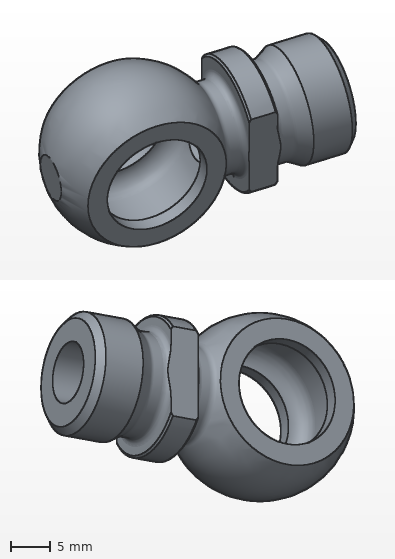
import cadquery as cq
import math

BALL_RADIUS = 12.0
EYE_WIDTH = 14.0
EYE_HOLE_DIAMETER = 14.0
FRONT_FLAT_Y = -11.6

GROOVE_MOUTH_WIDTH = 10.0
GROOVE_SIDE_RADIUS = 2.5

STEM_END_Y = 28.0
STEM_BORE_DIAMETER = 8.0
FILLET = 1.0

THREAD_RADIUS = 16.0 / 2
THREAD_START_Y = 21.6
THREAD_CHAMFER = 1.0
RELIEF_RADIUS = 13.7 / 2
RUNOUT_ANGLE = math.radians(30)

COLLAR_RADIUS = 9.23
COLLAR_START_Y = 12.95
COLLAR_END_Y = 16.95
COLLAR_CHAMFER = 0.28
COLLAR_FLAT_WIDTH = EYE_WIDTH

NECK_RADIUS = 12.5 / 2


def arc_point(center, angle):
    """Point of a fillet arc at an angle measured from the radial direction towards +Y."""
    return (
        center[0] + FILLET * math.cos(angle),
        center[1] + FILLET * math.sin(angle),
    )


def make_eye_blank():
    ball = cq.Workplane("XY").sphere(BALL_RADIUS)
    depth = BALL_RADIUS - FRONT_FLAT_Y
    envelope = (
        cq.Workplane("XY")
        .box(EYE_WIDTH, depth, 2 * BALL_RADIUS + 0.4)
        .translate((0, FRONT_FLAT_Y + depth / 2, 0))
    )
    return ball.intersect(envelope)


def make_stem():
    ball_fillet_radius = NECK_RADIUS + FILLET
    ball_fillet_y = math.sqrt((BALL_RADIUS + FILLET) ** 2 - ball_fillet_radius**2)
    ball_fillet = (ball_fillet_radius, ball_fillet_y)
    neck_fillet = (NECK_RADIUS + FILLET, COLLAR_START_Y - FILLET)
    collar_fillet = (RELIEF_RADIUS + FILLET, COLLAR_END_Y + FILLET)

    runout_end_radius = RELIEF_RADIUS + FILLET * (1 - math.cos(RUNOUT_ANGLE))
    runout_length = (THREAD_RADIUS - runout_end_radius) / math.tan(RUNOUT_ANGLE)
    runout_end_y = THREAD_START_Y - runout_length
    runout_fillet = (RELIEF_RADIUS + FILLET, runout_end_y - FILLET * math.sin(RUNOUT_ANGLE))

    inward = math.pi
    ball_contact = math.pi + math.atan2(ball_fillet_y, ball_fillet_radius)
    from_start = math.radians(135)
    to_end = math.radians(225)

    profile = (
        cq.Workplane("XY")
        .lineTo(*(BALL_RADIUS / (BALL_RADIUS + FILLET) * c for c in ball_fillet))
        .threePointArc(
            arc_point(ball_fillet, (inward + ball_contact) / 2),
            arc_point(ball_fillet, inward),
        )
        .lineTo(*arc_point(neck_fillet, inward))
        .threePointArc(arc_point(neck_fillet, from_start), (neck_fillet[0], COLLAR_START_Y))
        .lineTo(COLLAR_RADIUS - COLLAR_CHAMFER, COLLAR_START_Y)
        .lineTo(COLLAR_RADIUS, COLLAR_START_Y + COLLAR_CHAMFER)
        .lineTo(COLLAR_RADIUS, COLLAR_END_Y - COLLAR_CHAMFER)
        .lineTo(COLLAR_RADIUS - COLLAR_CHAMFER, COLLAR_END_Y)
        .lineTo(collar_fillet[0], COLLAR_END_Y)
        .threePointArc(arc_point(collar_fillet, to_end), arc_point(collar_fillet, inward))
        .lineTo(*arc_point(runout_fillet, inward))
        .threePointArc(
            arc_point(runout_fillet, inward - RUNOUT_ANGLE / 2),
            (runout_end_radius, runout_end_y),
        )
        .lineTo(THREAD_RADIUS, THREAD_START_Y)
        .lineTo(THREAD_RADIUS, STEM_END_Y - THREAD_CHAMFER)
        .lineTo(THREAD_RADIUS - THREAD_CHAMFER, STEM_END_Y)
        .lineTo(0, STEM_END_Y)
        .close()
    )
    return profile.revolve(360, (0, 0, 0), (0, 1, 0))


def make_collar_flat(side):
    """Block that trims the collar and its fillets to a wrench flat on one X side."""
    start = COLLAR_START_Y - FILLET
    length = COLLAR_END_Y + FILLET - start
    depth = COLLAR_RADIUS
    center_x = side * (COLLAR_FLAT_WIDTH + depth) / 2
    block = cq.Workplane("XY").box(depth, length, 2 * COLLAR_RADIUS)
    return block.translate((center_x, start + length / 2, 0))


def make_eye_hole():
    hole_radius = EYE_HOLE_DIAMETER / 2
    half_width = EYE_WIDTH / 2
    half_mouth = GROOVE_MOUTH_WIDTH / 2
    half_floor = half_mouth - GROOVE_SIDE_RADIUS
    floor_radius = hole_radius + GROOVE_SIDE_RADIUS
    mid_offset = GROOVE_SIDE_RADIUS * math.sqrt(0.5)
    profile = (
        cq.Workplane("XY")
        .moveTo(-half_width, 0)
        .lineTo(-half_width, hole_radius)
        .lineTo(-half_mouth, hole_radius)
        .threePointArc(
            (-half_floor - mid_offset, hole_radius + mid_offset),
            (-half_floor, floor_radius),
        )
        .lineTo(half_floor, floor_radius)
        .threePointArc(
            (half_floor + mid_offset, hole_radius + mid_offset),
            (half_mouth, hole_radius),
        )
        .lineTo(half_width, hole_radius)
        .lineTo(half_width, 0)
        .close()
    )
    return profile.revolve(360, (0, 0, 0), (1, 0, 0))


def make_stem_bore():
    end_plane = cq.Workplane("XZ", origin=(0, STEM_END_Y, 0))
    return end_plane.circle(STEM_BORE_DIAMETER / 2).extrude(STEM_END_Y)


stem = make_stem()
for side in (-1, 1):
    stem = stem.cut(make_collar_flat(side))

result = make_eye_blank().union(stem).cut(make_eye_hole()).cut(make_stem_bore())